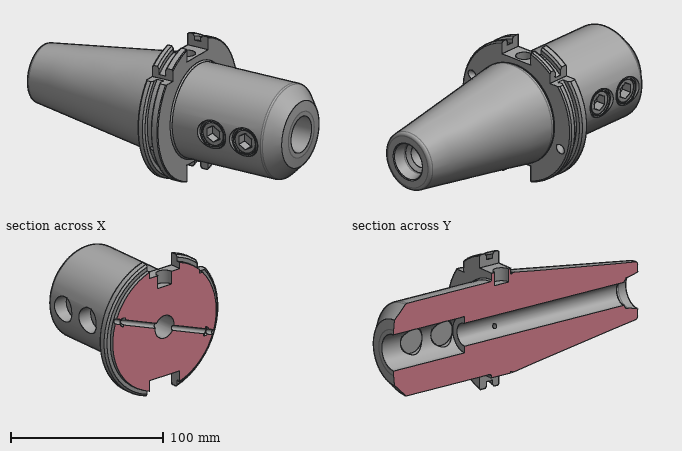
import cadquery as cq
import math


overall_length = 201.8
taper_length = 101.7
taper_large_radius = 35.0
taper_ratio = 7 / 24
taper_small_radius = taper_large_radius - taper_length * taper_ratio / 2
taper_nose_fillet = 2.5
collar_end = 103.5
undercut_depth = 0.6

flange_start = 105.0
flange_width = 16.0
flange_end = flange_start + flange_width
flange_radius = 97.5 / 2
flange_front_chamfer = 1.0
flange_back_chamfer = 0.6

groove_center = 112.5
groove_floor_radius = 89.0 / 2
groove_floor_width = 4.8
groove_mouth_width = 7.3
groove_mouth_depth = 1.51

body_radius = 65.0 / 2
body_root_fillet = 1.0
end_cone_radius = 22.8
end_face_radius = 15.7
end_cone_height = 0.7
end_chamfer = body_radius - end_cone_radius
end_chamfer_fillet = 1.8

pilot_radius = 12.5
pilot_mouth_chamfer = 0.6
pilot_depth = 8.0
throat_radius = 10.7
throat_length = 1.5
throat_cone_length = 2.2
through_radius = 7.9
tool_bore_radius = 12.5
tool_bore_depth = 58.5

drive_slot_width = 25.6
upper_slot_floor = 38.1
lower_slot_floor = 35.1
notch_side = 30.0
notch_floor = 30.3
slot_hole_diameter = 11.3
slot_hole_depth = 9.0

coolant_angle = 20.0
coolant_pitch_radius = 42.0
coolant_diameter = 6.0
coolant_tilt = 35.0
channel_diameter = 3.2

screw_spacing = 25.0
outer_screw_x = 177.5
screw_positions = [outer_screw_x - screw_spacing, outer_screw_x]
screw_radius = 8.9
screw_face_radius = 7.9
screw_face_y = -30.5
screw_chamfer_height = 1.0
hex_across_flats = 9.9
hex_depth = 7.0
spotface_radius = 9.9
spotface_rim_radius = 11.0
spotface_y = -math.sqrt(body_radius**2 - spotface_radius**2)
balance_hole_radius = 8.9
balance_hole_depth = 10.0


def bar(radius, start, direction, length):
    """Cylinder from a start point along a direction."""
    return cq.Workplane(cq.Solid.makeCylinder(radius, length, cq.Vector(*start), cq.Vector(*direction)))


def box(x_range, y_range, z_range):
    """Box between two limits on each axis."""
    ranges = (x_range, y_range, z_range)
    sizes = [high - low for low, high in ranges]
    corner = cq.Vector(*[low for low, high in ranges])
    return cq.Workplane(cq.Solid.makeBox(*sizes, corner))


def revolve_about_x(outline):
    """Turn a closed outline drawn in the XY plane about the X axis."""
    return outline.close().revolve(360, (0, 0, 0), (1, 0, 0))


def turned_blank():
    """Outside of the holder: taper, flange, body and end chamfer."""
    half_floor = groove_floor_width / 2
    half_mouth = groove_mouth_width / 2
    wall_top = flange_radius - groove_mouth_depth
    body_end = overall_length - end_cone_height
    taper = revolve_about_x(
        cq.Workplane("XY")
        .polyline([
            (0, 0),
            (0, taper_small_radius),
            (taper_length, taper_large_radius),
            (collar_end, taper_large_radius),
            (collar_end + undercut_depth, taper_large_radius - undercut_depth),
            (flange_start, taper_large_radius - undercut_depth),
            (flange_start, 0),
        ])
    ).faces("<X").edges().fillet(taper_nose_fillet)
    flange = revolve_about_x(
        cq.Workplane("XY")
        .polyline([
            (flange_start, 0),
            (flange_start, flange_radius - flange_front_chamfer),
            (flange_start + flange_front_chamfer, flange_radius),
            (groove_center - half_mouth, flange_radius),
            (groove_center - half_floor, wall_top),
            (groove_center - half_floor, groove_floor_radius),
            (groove_center + half_floor, groove_floor_radius),
            (groove_center + half_floor, wall_top),
            (groove_center + half_mouth, flange_radius),
            (flange_end - flange_back_chamfer, flange_radius),
            (flange_end, flange_radius - flange_back_chamfer),
            (flange_end, 0),
        ])
    )
    body = revolve_about_x(
        cq.Workplane("XY")
        .polyline([
            (flange_end, 0),
            (flange_end, body_radius + body_root_fillet),
            (flange_end + body_root_fillet, body_radius),
            (body_end - end_chamfer, body_radius),
            (body_end, end_cone_radius),
            (overall_length, end_face_radius),
            (overall_length, 0),
        ])
    )
    chamfer_start = cq.selectors.BoxSelector(
        (body_end - end_chamfer - 0.2, -40.4, -40.4), (body_end - end_chamfer + 0.2, 40.4, 40.4)
    )
    body = body.edges(chamfer_start).fillet(end_chamfer_fillet)
    return taper.union(flange).union(body)


def axial_bores():
    """Tapered pilot bore, throat, through bore and tool bore as one turned cutter."""
    throat_end = pilot_depth + throat_length
    tool_bore_start = overall_length - tool_bore_depth
    return revolve_about_x(
        cq.Workplane("XY")
        .polyline([
            (0, 0),
            (0, pilot_radius + pilot_mouth_chamfer),
            (pilot_mouth_chamfer, pilot_radius),
            (pilot_depth, throat_radius),
            (throat_end, throat_radius),
            (throat_end + throat_cone_length, through_radius),
            (tool_bore_start, through_radius),
            (tool_bore_start, tool_bore_radius),
            (overall_length, tool_bore_radius),
            (overall_length, 0),
        ])
    )


def flange_cutouts():
    """Two drive slots, the corner notch and the hole in the upper slot."""
    along = (flange_start, flange_end)
    half_slot = drive_slot_width / 2
    across = (-half_slot, half_slot)
    upper_slot = box(along, across, (upper_slot_floor, flange_radius))
    lower_slot = box(along, across, (-flange_radius, -lower_slot_floor))
    notch = box(along, (-flange_radius, -notch_side), (notch_floor, flange_radius))
    hole_start = (groove_center, 0, upper_slot_floor - slot_hole_depth)
    slot_hole = bar(slot_hole_diameter / 2, hole_start, (0, 0, 1), slot_hole_depth)
    return upper_slot.union(lower_slot).union(notch).union(slot_hole)


def coolant_passage():
    """Radial channel from the groove to the axis bore, met by a tilted hole from the flange face.

    Built along +Y, then turned to its place around the axis.
    """
    channel = bar(channel_diameter / 2, (groove_center, 0, 0), (0, 1, 0), flange_radius)
    tilt = math.radians(coolant_tilt)
    overrun = coolant_diameter
    start = (flange_start - overrun, coolant_pitch_radius + overrun * math.tan(tilt), 0)
    length = (groove_center - start[0]) / math.cos(tilt)
    mouth = bar(coolant_diameter / 2, start, (math.cos(tilt), -math.sin(tilt), 0), length)
    return channel.union(mouth).rotate((0, 0, 0), (1, 0, 0), coolant_angle)


def screw_hole(x):
    """Threaded hole from -Y into the tool bore, under a flat-floored conical spotface."""
    hole = bar(screw_radius, (x, -body_radius, 0), (0, 1, 0), body_radius)
    wall_height = body_radius + spotface_y
    spotface = cq.Workplane(cq.Solid.makeCone(
        spotface_rim_radius, spotface_radius, wall_height, cq.Vector(x, -body_radius, 0), cq.Vector(0, 1, 0)
    ))
    return hole.union(spotface)


def balance_hole(x):
    """Blind hole on +Y opposite a clamping screw."""
    return bar(balance_hole_radius, (x, body_radius - balance_hole_depth, 0), (0, 1, 0), balance_hole_depth)


def make_holder():
    holder = turned_blank().cut(axial_bores()).cut(flange_cutouts())
    for turn in (0, 180):
        holder = holder.cut(coolant_passage().rotate((0, 0, 0), (1, 0, 0), turn))
    for x in screw_positions:
        holder = holder.cut(screw_hole(x)).cut(balance_hole(x))
    return holder


def make_screw(x):
    """Set screw ending at the tool bore, with a chamfered head and a hexagon socket."""
    length = -tool_bore_radius - screw_face_y
    screw = cq.Workplane("XZ", origin=(x, -tool_bore_radius, 0)).circle(screw_radius).extrude(length)
    screw = screw.faces("<Y").edges().chamfer(screw_chamfer_height, screw_radius - screw_face_radius)
    socket = (
        cq.Workplane("XZ", origin=(x, screw_face_y + hex_depth, 0))
        .polygon(6, hex_across_flats, circumscribed=True)
        .extrude(hex_depth)
    )
    return screw.cut(socket)


holder = make_holder()
screws = [make_screw(x) for x in screw_positions]
result = cq.Compound.makeCompound([holder.solids().val(), *[screw.val() for screw in screws]])